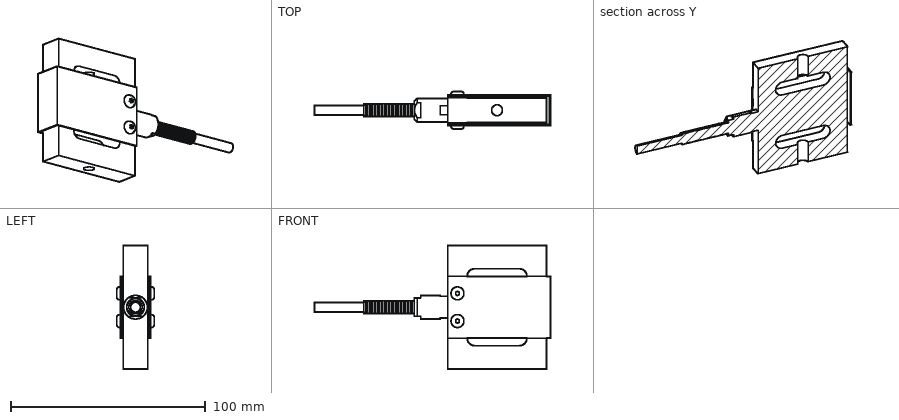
import cadquery as cq
import math


body_length = 50.8
body_width = 12.7
body_height = 63.5
body_left = -body_length / 2
body_right = body_length / 2

slot_length = 30.5
slot_width = 7.37
slot_outer_z = 19.67
slot_centre_z = slot_outer_z - slot_width / 2

load_hole_diameter = 5.59
load_hole_depth = body_height / 2 - slot_centre_z

cover_thickness = 0.76
cover_side_gap = 0.76
cover_end_gap = 1.4
cover_height = 31.75
cover_inner_half_width = body_width / 2 + cover_side_gap
cover_outer_half_width = cover_inner_half_width + cover_thickness
cover_right = body_right + cover_end_gap + cover_thickness

screw_x = body_left + 5.08
screw_half_spacing = 7.11
screw_head_diameter = 6.66
screw_top_diameter = 3.79
screw_rim_height = 0.5
screw_dome_bulge = 0.25
overall_width = 19.46
screw_head_height = overall_width / 2 - cover_outer_half_width
hex_across_flats = 1.984
hex_depth = 0.9
hex_cone_depth = 0.6
spacer_diameter = 9.53

gland_diameter = 12.19
gland_length = 17.2
gland_chamfer = 1.52
gland_left = body_left - gland_length
tip_flat_length = 3.35
tip_flat_across = 9.53
root_flat_length = 3.8
root_flat_across = 11.3

mouth_diameter = 8.9
mouth_depth = 0.5

overall_length = 121.4
cable_diameter = 5.08
cable_left = cover_right - overall_length
coil_wire_diameter = 0.89
exposed_coil_count = 29
sunk_coil_count = 1
coil_diameter = cable_diameter + 2 * coil_wire_diameter
coil_left = gland_left - exposed_coil_count * coil_wire_diameter
coil_right = gland_left + sunk_coil_count * coil_wire_diameter


def x_cylinder(diameter, start, end):
    """Cylinder on the X axis from start to end."""
    return cq.Workplane("YZ", origin=(start, 0, 0)).circle(diameter / 2).extrude(end - start)


def make_body():
    body = cq.Workplane("XY").box(body_length, body_width, body_height)
    slots = (
        cq.Workplane("XZ")
        .pushPoints([(0, slot_centre_z), (0, -slot_centre_z)])
        .slot2D(slot_length, slot_width)
        .extrude(body_width, both=True)
    )
    body = body.cut(slots)
    for end_face in (">Z", "<Z"):
        body = body.faces(end_face).workplane(origin=(0, 0, 0)).hole(load_hole_diameter, load_hole_depth)
    return body


def make_cover():
    outer = cq.Workplane("XY").box(
        cover_right - body_left, 2 * cover_outer_half_width, cover_height, centered=(False, True, True)
    )
    inner = cq.Workplane("XY").box(
        cover_right - cover_thickness - body_left,
        2 * cover_inner_half_width,
        cover_height,
        centered=(False, True, True),
    )
    return outer.cut(inner).translate((body_left, 0, 0))


def make_screw_head():
    """Button head standing on z = 0, with a hexagon socket ending in a drill cone."""
    head_radius = screw_head_diameter / 2
    top_radius = screw_top_diameter / 2
    middle_radius = (head_radius + top_radius) / 2 + screw_dome_bulge
    middle_height = (screw_rim_height + screw_head_height) / 2 + screw_dome_bulge
    head = (
        cq.Workplane("XZ")
        .lineTo(head_radius, 0)
        .lineTo(head_radius, screw_rim_height)
        .threePointArc((middle_radius, middle_height), (top_radius, screw_head_height))
        .lineTo(0, screw_head_height)
        .close()
        .revolve(360, (0, 0, 0), (0, 1, 0))
    )
    socket_bottom = screw_head_height - hex_depth
    hex_across_corners = hex_across_flats / math.cos(math.radians(30))
    socket = (
        cq.Workplane("XY", origin=(0, 0, socket_bottom))
        .transformed(rotate=(0, 0, 90))
        .polygon(6, hex_across_corners)
        .extrude(hex_depth)
    )
    cone_base = cq.Vector(0, 0, socket_bottom)
    downward = cq.Vector(0, 0, -1)
    drill_cone = cq.Workplane(
        cq.Solid.makeCone(hex_across_flats / 2, 0, hex_cone_depth, cone_base, downward)
    )
    return head.cut(socket).cut(drill_cone)


def make_cover_fastener():
    """Spacer washer and screw head on the -Y side, centred at x = z = 0."""
    spacer = (
        cq.Workplane("XZ", origin=(0, -body_width / 2, 0))
        .circle(spacer_diameter / 2)
        .extrude(cover_side_gap)
    )
    head = make_screw_head().rotate((0, 0, 0), (1, 0, 0), 90).translate((0, -cover_outer_half_width, 0))
    return spacer, head


def cut_gland_flats(gland, start, end, across):
    """Trim the gland to the given height between start and end."""
    band = x_cylinder(2 * gland_diameter, start, end)
    kept = cq.Workplane("XY", origin=(start, 0, 0)).box(
        end - start, 2 * gland_diameter, across, centered=(False, True, True)
    )
    return gland.cut(band.cut(kept))


def make_gland():
    gland = x_cylinder(gland_diameter, gland_left, body_left).faces("<X").chamfer(gland_chamfer)
    gland = cut_gland_flats(gland, gland_left, gland_left + tip_flat_length, tip_flat_across)
    mouth = cq.Workplane(
        cq.Solid.makeCone(
            mouth_diameter / 2, coil_diameter / 2, mouth_depth, cq.Vector(gland_left, 0, 0), cq.Vector(1, 0, 0)
        )
    )
    gland = gland.cut(mouth)
    return cut_gland_flats(gland, body_left - root_flat_length, body_left, root_flat_across)


def make_coils():
    """Touching wire rings stacked along the cable, revolved as one scalloped profile."""
    wire_radius = coil_wire_diameter / 2
    valley_radius = coil_diameter / 2 - wire_radius
    profile = cq.Workplane("XY").moveTo(coil_left, 0).lineTo(coil_left, valley_radius)
    for ring in range(exposed_coil_count + sunk_coil_count):
        ring_left = coil_left + ring * coil_wire_diameter
        crest = (ring_left + wire_radius, coil_diameter / 2)
        profile = profile.threePointArc(crest, (ring_left + coil_wire_diameter, valley_radius))
    return profile.lineTo(coil_right, 0).close().revolve(360, (0, 0, 0), (1, 0, 0))


result = make_body().union(make_cover())
for z in (screw_half_spacing, -screw_half_spacing):
    for piece in make_cover_fastener():
        front = piece.translate((screw_x, 0, z))
        result = result.union(front).union(front.mirror("XZ"))
result = result.union(make_gland())
result = result.union(make_coils())
result = result.union(x_cylinder(cable_diameter, cable_left, coil_right))